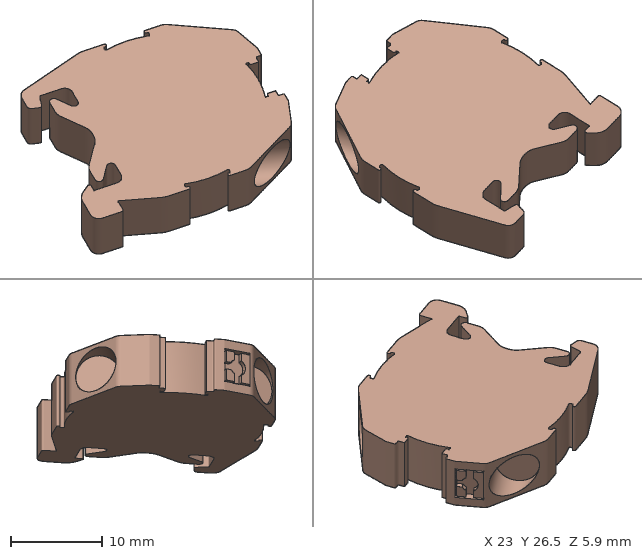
import cadquery as cq
import math


def slope(angle):
    return math.tan(math.radians(angle))



thickness = 5.9
mid_z = thickness / 2
half_width = 11.5
height_y = 26.5
top_y = 12.67
bottom_y = top_y - height_y
core_radius = 10.92

roof_angle = 18.0
shoulder_angle = 30.0
shoulder_y = 4.72
eave_y = 11.58
shoulder_radius = 1.5
eave_radius = 1.0
eave_x = half_width - (eave_y - shoulder_y) * slope(shoulder_angle)
ridge_x = eave_x - (top_y - eave_y) / slope(roof_angle)

top_mouth_x = 3.05
top_ledge_y = 11.98
top_lip_x = 2.28
top_lip_y = 10.95
top_undercut_x = 2.65
top_floor_y = 10.47
side_lip_x = 11.1
side_lip_y = 2.28
side_undercut_y = 2.68
side_floor_x = 10.63
notch_radius = 0.13
side_lip_radius = 0.19

leg_angle = 18.0
leg_y = -5.33
leg_radius = 3.0
slot_x = 7.47
slot_top_y = -8.43
slot_radius = 0.9
foot_radius = 1.0

tongue_angle = 35.0
tongue_y = -11.32
tongue_root_x = 3.47
tongue_root_radius = 0.5
tongue_tip_radius = 0.48
tongue_heel_radius = 1.5
arch_y = -8.88
arch_x = 0.77
arch_radius = 2.0

hook_angle = 15.0
hook_top_y = -11.92
hook_tip_x = 5.85
hook_root_radius = 0.15
hook_tip_radius = 0.3
hook_heel_radius = 0.5
wedge_top_y = -12.05
wedge_tip_x = 6.28
wedge_heel_x = 7.63
wedge_tip_radius = 0.2
wedge_heel_radius = 1.62
step_y = -10.28
step_radius = 0.2

wire_hole_radius = 2.46
wire_hole_y = 8.43
wire_hole_depth = 2.46

pocket_length = 3.18
pocket_depth = 1.05
pocket_width = 3.82
insert_gap = 0.19
insert_recess_radius = 0.93
insert_slot_width = 0.85
insert_recess_depth = 0.58
insert_recess_place = 1.65


def rounded_outline(corners):
    """Closed wire through (x, y, radius) corners, each rounded with its own radius (0 = sharp)."""
    points = [cq.Vector(x, y) for x, y, _ in corners]
    starts, middles, ends = [], [], []
    for i, (_, _, radius) in enumerate(corners):
        corner = points[i]
        back = (points[i - 1] - corner).normalized()
        ahead = (points[(i + 1) % len(points)] - corner).normalized()
        half = back.getAngle(ahead) / 2
        setback = radius / math.tan(half)
        middle_distance = radius / math.sin(half) - radius
        starts.append(corner + back * setback)
        ends.append(corner + ahead * setback)
        middles.append(corner + (back + ahead).normalized() * middle_distance)
    edges = []
    for i, (_, _, radius) in enumerate(corners):
        edges.append(cq.Edge.makeLine(ends[i - 1], starts[i]))
        if radius > 0:
            edges.append(cq.Edge.makeThreePointArc(starts[i], middles[i], ends[i]))
    return cq.Wire.assembleEdges(edges)


def mirrored(corners):
    return [(-x, y, radius) for x, y, radius in reversed(corners)]


def upper_corners():
    """Half outline on the +X side, from the top notch down to the leg corner."""
    return [
        (top_undercut_x, top_floor_y, 0),
        (top_undercut_x, top_lip_y, 0),
        (top_lip_x, top_lip_y, notch_radius),
        (top_lip_x, top_ledge_y, 0),
        (top_mouth_x, top_ledge_y, notch_radius),
        (top_mouth_x, top_y, notch_radius),
        (ridge_x, top_y, 0),
        (eave_x, eave_y, eave_radius),
        (half_width, shoulder_y, shoulder_radius),
        (half_width, side_lip_y, side_lip_radius),
        (side_lip_x, side_lip_y, side_lip_radius),
        (side_lip_x, side_undercut_y, notch_radius),
        (side_floor_x, side_undercut_y, notch_radius),
        (side_floor_x, -side_undercut_y, notch_radius),
        (side_lip_x, -side_undercut_y, notch_radius),
        (side_lip_x, -side_lip_y, side_lip_radius),
        (half_width, -side_lip_y, side_lip_radius),
        (half_width, leg_y, leg_radius),
    ]


def tongue_corners():
    """Rail slot top and tongue on the +X side, from the slot wall to the arch."""
    tip_x = tongue_root_x + (slot_top_y - tongue_y) / slope(tongue_angle)
    heel_x = arch_x + (arch_y - tongue_y) / slope(tongue_angle)
    return [
        (slot_x, slot_top_y, slot_radius),
        (tongue_root_x, slot_top_y, tongue_root_radius),
        (tip_x, tongue_y, tongue_tip_radius),
        (heel_x, tongue_y, tongue_heel_radius),
        (arch_x, arch_y, arch_radius),
    ]


def wedge_foot_corners():
    """Foot of the +X leg, from the outer step round to the slot wall."""
    return [
        (half_width - (leg_y - step_y) * slope(leg_angle), step_y, 0),
        (half_width, step_y, step_radius),
        (half_width, bottom_y, foot_radius),
        (wedge_heel_x, bottom_y, wedge_heel_radius),
        (wedge_tip_x, wedge_top_y, wedge_tip_radius),
        (slot_x, wedge_top_y, 0),
    ]


def hook_foot_corners():
    """Foot of the -X leg, from the slot wall round to the outer leg face."""
    tip_y = hook_top_y - (slot_x - hook_tip_x) * slope(hook_angle)
    heel_x = hook_tip_x + (tip_y - bottom_y) * slope(hook_angle)
    return [
        (-slot_x, hook_top_y, hook_root_radius),
        (-hook_tip_x, tip_y, hook_tip_radius),
        (-heel_x, bottom_y, hook_heel_radius),
        (-half_width + (leg_y - bottom_y) * slope(leg_angle), bottom_y, foot_radius),
    ]


def housing_plate():
    corners = (
        upper_corners()
        + wedge_foot_corners()
        + tongue_corners()
        + mirrored(tongue_corners())
        + hook_foot_corners()
        + mirrored(upper_corners())
    )
    face = cq.Face.makeFromWires(rounded_outline(corners))
    return cq.Workplane(cq.Solid.extrudeLinear(face, cq.Vector(0, 0, thickness)))


def core_disc():
    """Round core that bulges into the notches; cut off level with the lower side notch ends."""
    disc = cq.Workplane("XY").circle(core_radius).extrude(thickness)
    keep = cq.Workplane("XY").box(
        2 * core_radius, core_radius + side_undercut_y, thickness, centered=(True, False, False)
    )
    return disc.intersect(keep.translate((0, -side_undercut_y, 0)))


roof_down = cq.Vector(-math.cos(math.radians(roof_angle)), -math.sin(math.radians(roof_angle)))
roof_out = cq.Vector(-math.sin(math.radians(roof_angle)), math.cos(math.radians(roof_angle)))
ridge = cq.Vector(-ridge_x, top_y, mid_z)


def roof_plane(place):
    """Plane on the -X roof at a place down its slope: local X runs down the slope, local Y along Z."""
    return cq.Plane(origin=ridge + roof_down * place, xDir=roof_down, normal=roof_out)


def roof_block(start, end, width, depth):
    """Block sunk into the -X roof between two places down its slope."""
    return cq.Workplane(roof_plane((start + end) / 2)).rect(end - start, width).extrude(-depth)


def wire_hole():
    """Blind round hole through the -X shoulder."""
    mouth_x = -half_width + (wire_hole_y - shoulder_y) * slope(shoulder_angle)
    floor_centre = cq.Vector(mouth_x, wire_hole_y, mid_z) - roof_out * wire_hole_depth
    length = wire_hole_depth + 2 * wire_hole_radius
    return cq.Workplane(cq.Solid.makeCylinder(wire_hole_radius, length, floor_centre, roof_out))


def make_housing():
    hole = wire_hole()
    return (
        housing_plate()
        .union(core_disc())
        .cut(hole)
        .cut(hole.mirror("YZ"))
        .cut(roof_block(0, pocket_length, pocket_width, pocket_depth))
    )


def insert_recess(width):
    """Round recess with a cross slot over the full insert width and a slot to the ridge end."""
    half_slot = insert_slot_width / 2
    round_recess = (
        cq.Workplane(roof_plane(insert_recess_place))
        .circle(insert_recess_radius)
        .extrude(-insert_recess_depth)
    )
    cross_slot = roof_block(
        insert_recess_place - half_slot, insert_recess_place + half_slot, width, insert_recess_depth
    )
    ridge_slot = roof_block(insert_gap, insert_recess_place, insert_slot_width, insert_recess_depth)
    return round_recess.union(cross_slot).union(ridge_slot)


def make_insert():
    """Plate flush with the -X roof, resting on the floor and the lower end of its pocket."""
    width = pocket_width - 2 * insert_gap
    plate = roof_block(insert_gap, pocket_length, width, pocket_depth)
    return plate.cut(insert_recess(width))


housing = make_housing()
insert = make_insert()
result = cq.Compound.makeCompound([housing.val(), insert.val()])